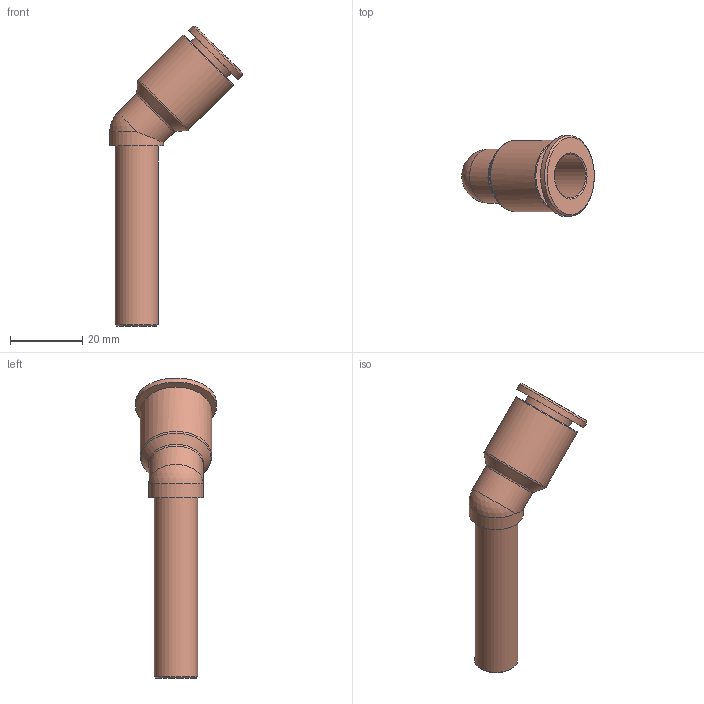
import cadquery as cq

bend_angle = 45.0
elbow_diameter = 15.0
elbow_radius = elbow_diameter / 2
collar_height = 4.0

stem_diameter = 12.0
stem_length = 50.0
stem_chamfer = 0.4

body_diameter = 19.8
body_radius = body_diameter / 2
cone_start = 7.5
cone_end = 10.3
body_end = 28.2
shoulder_fillet = 0.8
body_end_chamfer = 0.2

button_long_diameter = 22.5
button_short_diameter = 19.5
button_start = 30.1
button_end = 32.2
button_chamfer = 0.5
button_neck_diameter = 14.2

bore_diameter = 12.2
bore_depth = 20.0
bore_chamfer = 0.3


def along_socket(solid):
    """Tilt a solid built along Z onto the inclined socket axis."""
    return solid.rotate((0, 0, 0), (0, 1, 0), bend_angle)


def make_stem():
    return (
        cq.Workplane("XY")
        .workplane(offset=-collar_height - stem_length)
        .circle(stem_diameter / 2)
        .extrude(stem_length + collar_height)
        .faces("<Z")
        .chamfer(stem_chamfer)
    )


def make_elbow():
    """Collar and spherical knuckle that carry the bend."""
    collar = cq.Workplane("XY").circle(elbow_radius).extrude(-collar_height)
    knuckle = cq.Workplane("XY").sphere(elbow_radius)
    return collar.union(knuckle)


def above_collar_base(solid):
    """Trim away everything that would hang below the flat base of the collar."""
    reach = 2 * (button_end + button_long_diameter)
    keep = (
        cq.Workplane("XY")
        .workplane(offset=-collar_height)
        .rect(reach, reach)
        .extrude(reach)
    )
    return solid.intersect(keep)


def make_socket_body():
    """Neck, conical shoulder and cylindrical body, built along Z."""
    body = (
        cq.Workplane("XZ")
        .moveTo(0, 0)
        .lineTo(elbow_radius, 0)
        .lineTo(elbow_radius, cone_start)
        .lineTo(body_radius, cone_end)
        .lineTo(body_radius, body_end - body_end_chamfer)
        .lineTo(body_radius - body_end_chamfer, body_end)
        .lineTo(0, body_end)
        .close()
        .revolve(360, (0, 0), (0, 1))
    )
    shoulder_edges = cq.selectors.BoxSelector(
        (-body_diameter, -body_diameter, cone_start - shoulder_fillet),
        (body_diameter, body_diameter, cone_end + shoulder_fillet),
    )
    return body.edges("%CIRCLE").edges(shoulder_edges).fillet(shoulder_fillet)


def make_button():
    neck = (
        cq.Workplane("XY")
        .workplane(offset=body_end)
        .circle(button_neck_diameter / 2)
        .extrude(button_start - body_end)
    )
    head = (
        cq.Workplane("XY")
        .workplane(offset=button_start)
        .ellipse(button_short_diameter / 2, button_long_diameter / 2)
        .extrude(button_end - button_start)
        .faces(">Z")
        .chamfer(button_chamfer)
    )
    return neck.union(head)


def make_bore():
    bore_radius = bore_diameter / 2
    bore_bottom = button_end - bore_depth
    return (
        cq.Workplane("XZ")
        .moveTo(0, bore_bottom)
        .lineTo(bore_radius, bore_bottom)
        .lineTo(bore_radius, button_end - bore_chamfer)
        .lineTo(bore_radius + bore_chamfer, button_end)
        .lineTo(0, button_end)
        .close()
        .revolve(360, (0, 0), (0, 1))
    )


socket = make_socket_body().union(make_button()).cut(make_bore())
fitting = above_collar_base(make_elbow().union(along_socket(socket)))
result = make_stem().union(fitting)